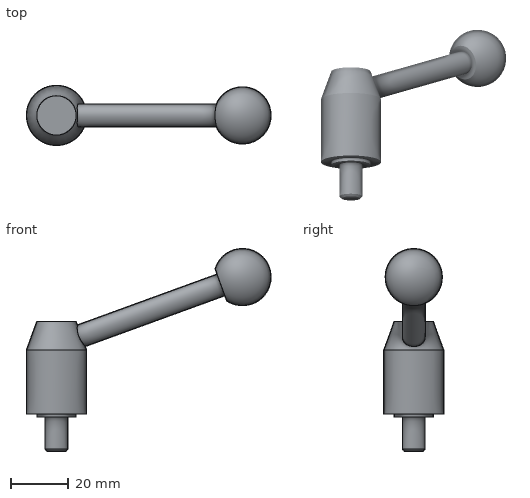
import cadquery as cq
import math

stud_radius = 4.0
stud_length = 12.0
stud_chamfer = 0.8

collar_radius = 6.8
collar_height = 1.0

hub_radius = 10.5
hub_height = 22.4
cone_height = 10.0
lever_angle = 20.0

rod_radius = 4.0
ball_radius = 10.0
ball_flat_radius = 6.0
overall_length = 85.5
overall_height = 70.9

slope = math.tan(math.radians(lever_angle))
cone_top_radius = hub_radius - cone_height * slope
collar_top = stud_length + collar_height
hub_top = collar_top + hub_height
cone_top = hub_top + cone_height

ball_x = overall_length - hub_radius - ball_radius
ball_z = overall_height - ball_radius
ball_flat_distance = math.sqrt(ball_radius**2 - ball_flat_radius**2)
rod_length = ball_x / math.cos(math.radians(lever_angle))


def make_hub():
    """Revolve the stud, collar, cylinder and cone about Z."""
    return (
        cq.Workplane("XZ")
        .moveTo(0, 0)
        .lineTo(stud_radius - stud_chamfer, 0)
        .lineTo(stud_radius, stud_chamfer)
        .lineTo(stud_radius, stud_length)
        .lineTo(collar_radius, stud_length)
        .lineTo(collar_radius, collar_top)
        .lineTo(hub_radius, collar_top)
        .lineTo(hub_radius, hub_top)
        .lineTo(cone_top_radius, cone_top)
        .lineTo(0, cone_top)
        .close()
        .revolve(360, (0, 0), (0, 1))
    )


def make_lever():
    """Revolve the rod and flatted ball about the rod axis, then tilt them into place."""
    flat_x = -ball_flat_distance
    lever = (
        cq.Workplane("XY")
        .moveTo(-rod_length, 0)
        .lineTo(-rod_length, rod_radius)
        .lineTo(flat_x, rod_radius)
        .lineTo(flat_x, ball_flat_radius)
        .threePointArc((0, ball_radius), (ball_radius, 0))
        .close()
        .revolve(360, (0, 0), (1, 0))
    )
    return lever.rotate((0, 0, 0), (0, 1, 0), -lever_angle).translate((ball_x, 0, ball_z))


result = make_hub().union(make_lever())